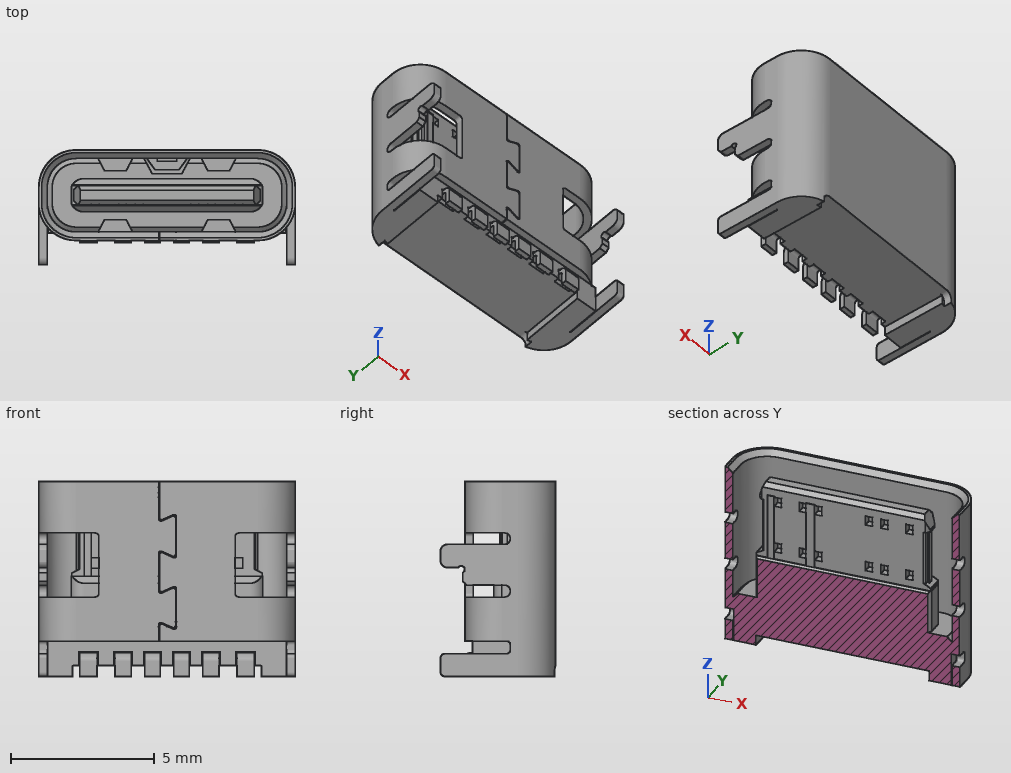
import cadquery as cq
import math

SHELL_X = 8.94
SHELL_Y = 3.16
SHELL_Z = 6.8
SHELL_RADIUS = 1.3
WALL = 0.3
MOUTH_CHAMFER = 0.2

LEG_TIP_Y = -2.43
SLOT_END_Y = 0
SLOT_END_RADIUS = 0.13
LOWER_LEG_TOP = 0.795
LOWER_LEG_CORNER = 0.15
HOOK_BOTTOM = 3.79
HOOK_CORNER_Y = 0.28
HOOK_CORNER_Z = 0.2
HOOK_BULGE = 0.31
BARB_Y = -1.655
BARB_CORNER = 0.14
NOTCH_Y = -1.71
NOTCH_Z = 3.73
NOTCH_RADIUS = 0.12
FRONT_WALL_BOTTOM = 1.23
UPPER_LEG_BOTTOM = 3.18
UPPER_LEG_TOP = 4.61
WINDOW_BOTTOM = 2.77
WINDOW_TOP = 5.0
WINDOW_INNER_X = 2.377
WINDOW_CORNER = 0.13
WINDOW_END_RADIUS = 0.19
LEG_ROOT_Y = SLOT_END_Y - WINDOW_END_RADIUS

BACK_CUT_HALF_X = 3.46
BACK_CUT_RADIUS = 0.25

SEAM_LEFT_X = -0.29
SEAM_RIGHT_X = 0.3
SEAM_SLOPE_RISE = 0.27
SEAM_TAB_EDGES = (5.37, 4.41, 2.86, 1.92)
SEAM_CORNER = 0.08
SEAM_WIDTH = 0.03

FLOOR_Z = 1.9
FLOOR_CHAMFER = 0.17
BASE_HALF_X = 4.15
BASE_FRONT_Y = -1.32
FEET_INNER_X = 3.29
FEET_HEIGHT = 0.38

RECESS_X = 1.8
RECESS_TIP_Y = 0.855
RECESS_TIP_HALF = 0.38
RECESS_WALL_HALF = 0.6
RECESS_DEPTH = 0.17
KEY_TIP_Y = 0.755
KEY_TIP_HALF = 0.52
KEY_WALL_HALF = 0.8
KEY_STEP_Y = 0.13
KEY_STEP_X = 0.1
KEY_CORNER = 0.1
NIB_HALF_X = 0.34
NIB_LENGTH = 0.1

PLINTH_HALF_X = 3.337
PLINTH_HALF_Y = 0.58
PLINTH_TOP_HALF_Y = 0.36
PLINTH_CORNER_X = 2.89
PLINTH_CORNER_Y = 0.29
PLINTH_SHOULDER_Z = 3.25
PLINTH_TOP = 3.5
COLLAR_HALF_X = 3.32
COLLAR_TOP = 3.6
COLLAR_TAPER_TOP = 3.75
TONGUE_HALF_X = 3.1
TONGUE_HALF_Y = 0.33
TONGUE_EDGE_CHAMFER = 0.06
TONGUE_TOP = 6.4
RIB_HALF_X = 3.17
RIB_HALF_Y = 0.11
TIP_BOTTOM = 5.75
TIP_TAPER_Z = 5.84
TIP_SHOULDER_Z = 6.24
TIP_HALF_X = 3.24
TIP_SHOULDER_HALF_X = 3.08
TIP_TOP_HALF_X = 3.02
TIP_TOP_HALF_Y = 0.18
TIP_EDGE_CHAMFER = 0.13

POCKET_CENTRES_X = (0.965, 1.55, 2.5)
POCKET_WIDTH = 0.27
POCKET_HEIGHT = 0.35
POCKET_DEPTH = 0.3
POCKET_ROW_BOTTOMS = (3.78, 5.58)
STRIP_SPANS_X = ((-2.89, -2.635), (-1.415, -1.1))
STRIP_TOP = 5.97
STRIP_PROUD = 0.03

TAILS = ((0.505, 0.55), (1.53, 0.58), (2.743, 0.61))
TAIL_FRONT_Y = -1.65
TAIL_TOP = 0.83
TAIL_THICKNESS = 0.2
TAIL_BEND = 0.29
TAIL_ROOT_Y = -1.0
TAIL_SLOT_GAP = 0.035
TAIL_SLOT_DEPTH = 0.2

INNER_HALF_X = SHELL_X / 2 - WALL
INNER_HALF_Y = SHELL_Y / 2 - WALL
FRONT_Y = -SHELL_Y / 2
BACK_Y = SHELL_Y / 2
BACK, FRONT = 1, -1


def box(x_min, x_max, y_min, y_max, z_min, z_max):
    """Axis-aligned block between the given limits."""
    size = (x_max - x_min, y_max - y_min, z_max - z_min)
    return cq.Workplane("XY").box(*size, centered=False).translate((x_min, y_min, z_min))


def tube_fill(inset, bottom, top):
    """Solid with the shell outline moved inwards by `inset`."""
    return (
        cq.Workplane("XY")
        .workplane(offset=bottom)
        .rect(SHELL_X - 2 * inset, SHELL_Y - 2 * inset)
        .extrude(top - bottom)
        .edges("|Z")
        .fillet(SHELL_RADIUS - inset)
    )


def extrude_x(outline, x_min, x_max):
    """Extrude a closed YZ outline from x_min to x_max."""
    return outline.extrude(x_max - x_min).translate((x_min, 0, 0))


def upper_leg_outline():
    """YZ outline of the hooked leg; a round notch parts the hook from the barb below it."""
    notch_lip_z = NOTCH_Z - math.sqrt(NOTCH_RADIUS**2 - (BARB_Y - NOTCH_Y) ** 2)
    notch_start_y = NOTCH_Y - math.sqrt(NOTCH_RADIUS**2 - (HOOK_BOTTOM - NOTCH_Z) ** 2)
    bulge_y = LEG_TIP_Y + HOOK_CORNER_Y * HOOK_BULGE
    upper_bulge = (bulge_y, UPPER_LEG_TOP - HOOK_CORNER_Z * HOOK_BULGE)
    lower_bulge = (bulge_y, HOOK_BOTTOM + HOOK_CORNER_Z * HOOK_BULGE)
    notch_diagonal = NOTCH_RADIUS * math.sqrt(0.5)
    return (
        cq.Workplane("YZ")
        .moveTo(LEG_ROOT_Y, UPPER_LEG_TOP)
        .lineTo(LEG_TIP_Y + HOOK_CORNER_Y, UPPER_LEG_TOP)
        .threePointArc(upper_bulge, (LEG_TIP_Y, UPPER_LEG_TOP - HOOK_CORNER_Z))
        .lineTo(LEG_TIP_Y, HOOK_BOTTOM + HOOK_CORNER_Z)
        .threePointArc(lower_bulge, (LEG_TIP_Y + HOOK_CORNER_Y, HOOK_BOTTOM))
        .lineTo(notch_start_y, HOOK_BOTTOM)
        .threePointArc((NOTCH_Y + notch_diagonal, NOTCH_Z + notch_diagonal), (BARB_Y, notch_lip_z))
        .lineTo(BARB_Y, UPPER_LEG_BOTTOM + BARB_CORNER)
        .lineTo(BARB_Y + BARB_CORNER, UPPER_LEG_BOTTOM)
        .lineTo(LEG_ROOT_Y, UPPER_LEG_BOTTOM)
        .close()
    )


def side_slot(bottom, top, end_radius):
    """Slot through both side walls, open towards the front, with a rounded end."""
    slot = box(-SHELL_X, SHELL_X, LEG_TIP_Y, SLOT_END_Y, bottom, top)
    return slot.edges("|X and >Y").fillet(end_radius)


def seam_groove():
    """Narrow dovetail gap through the front wall."""
    beyond = 0.5
    left_x = SEAM_LEFT_X - beyond
    points = [(left_x, SHELL_Z + beyond), (SEAM_LEFT_X, SHELL_Z + beyond)]
    for upper, lower in zip(SEAM_TAB_EDGES[0::2], SEAM_TAB_EDGES[1::2]):
        points += [
            (SEAM_LEFT_X, upper),
            (SEAM_RIGHT_X, upper + SEAM_SLOPE_RISE),
            (SEAM_RIGHT_X, lower - SEAM_SLOPE_RISE),
            (SEAM_LEFT_X, lower),
        ]
    points += [(SEAM_LEFT_X, FRONT_WALL_BOTTOM - beyond), (left_x, FRONT_WALL_BOTTOM - beyond)]
    plane = cq.Workplane("XZ", origin=(0, FRONT_Y + WALL, 0))
    outline = plane.polyline(points).close()
    left_half = outline.extrude(WALL).edges("|Y").fillet(SEAM_CORNER)
    widened = outline.toPending().offset2D(SEAM_WIDTH, "intersection").extrude(WALL)
    widened = widened.edges("|Y").fillet(SEAM_CORNER)
    keep = box(left_x + beyond / 2, SHELL_X, FRONT_Y, FRONT_Y + WALL, FRONT_WALL_BOTTOM, SHELL_Z)
    return widened.cut(left_half).intersect(keep)


def mouth_flare():
    """Chamfer around the inner edge of the mouth."""
    overshoot = 0.5
    inset = WALL - MOUTH_CHAMFER
    plug = tube_fill(inset, SHELL_Z - MOUTH_CHAMFER, SHELL_Z + overshoot)
    return plug.faces("<Z").chamfer(MOUTH_CHAMFER)


def lower_leg(x_min):
    """Straight leg at the foot of one side wall."""
    leg = box(x_min, x_min + WALL, LEG_TIP_Y, LEG_ROOT_Y, 0, LOWER_LEG_TOP)
    return leg.edges("|X and <Y").fillet(LOWER_LEG_CORNER)


def front_windows():
    """Openings in the front corners, running round into the side walls."""
    window = box(WINDOW_INNER_X, SHELL_X, LEG_TIP_Y, LEG_ROOT_Y, WINDOW_BOTTOM, WINDOW_TOP)
    window = window.edges("|Y and <X").fillet(WINDOW_CORNER)
    windows = window.union(window.mirror("YZ"))
    for bottom, top in ((WINDOW_BOTTOM, UPPER_LEG_BOTTOM), (UPPER_LEG_TOP, WINDOW_TOP)):
        slot = side_slot(bottom, top, WINDOW_END_RADIUS)
        between_walls = box(-INNER_HALF_X, INNER_HALF_X, LEG_TIP_Y, SLOT_END_Y, bottom, top)
        windows = windows.union(slot.cut(between_walls))
    return windows


def make_shell():
    """Sheet-metal tube with its windows, slots, seam and four legs."""
    shell = tube_fill(0, 0, SHELL_Z).cut(tube_fill(WALL, 0, SHELL_Z)).cut(mouth_flare())
    shell = shell.cut(front_windows())
    shell = shell.cut(side_slot(LOWER_LEG_TOP, FRONT_WALL_BOTTOM, SLOT_END_RADIUS))
    shell = shell.cut(box(-SHELL_X, SHELL_X, LEG_TIP_Y, LEG_ROOT_Y, 0, LOWER_LEG_TOP))
    back_cut = box(-BACK_CUT_HALF_X, BACK_CUT_HALF_X, 0, SHELL_Y, -FEET_HEIGHT, FEET_HEIGHT)
    shell = shell.cut(back_cut.edges("|Y and >Z").fillet(BACK_CUT_RADIUS))
    shell = shell.cut(seam_groove())
    for x_min in (-SHELL_X / 2, INNER_HALF_X):
        shell = shell.union(lower_leg(x_min))
        shell = shell.union(extrude_x(upper_leg_outline(), x_min, x_min + WALL))
    return shell


def floor_recess(centre_x, wall_half, tip_half, tip_y, side, bottom):
    """Floor recess tapering from the shell wall (side is BACK or FRONT) to its tip."""
    outline = [
        (centre_x - wall_half, side * INNER_HALF_Y),
        (centre_x - tip_half, side * tip_y),
        (centre_x + tip_half, side * tip_y),
        (centre_x + wall_half, side * INNER_HALF_Y),
    ]
    return cq.Workplane("XY").workplane(offset=bottom).polyline(outline).close().extrude(FLOOR_Z - bottom)


def make_base():
    """Insulator body closing the shell, with two feet and a recessed floor."""
    base = tube_fill(WALL, 0, FLOOR_Z).faces(">Z").chamfer(FLOOR_CHAMFER)
    base = base.union(box(-BASE_HALF_X, BASE_HALF_X, BASE_FRONT_Y, SLOT_END_Y, 0, FRONT_WALL_BOTTOM))
    side_gap = box(BASE_HALF_X, SHELL_X, FRONT_Y, SLOT_END_Y, 0, FRONT_WALL_BOTTOM)
    base = base.cut(side_gap).cut(side_gap.mirror("YZ"))
    base = base.cut(box(-FEET_INNER_X, FEET_INNER_X, FRONT_Y, BACK_Y, 0, FEET_HEIGHT))
    bottom = FLOOR_Z - RECESS_DEPTH
    for centre_x in (-RECESS_X, RECESS_X):
        for side in (FRONT, BACK):
            base = base.cut(
                floor_recess(centre_x, RECESS_WALL_HALF, RECESS_TIP_HALF, RECESS_TIP_Y, side, bottom)
            )
    base = base.cut(floor_recess(0, KEY_WALL_HALF, KEY_TIP_HALF, KEY_TIP_Y, BACK, bottom))
    inner_key = floor_recess(
        0,
        KEY_WALL_HALF - KEY_STEP_X,
        KEY_TIP_HALF - KEY_STEP_X,
        KEY_TIP_Y + KEY_STEP_Y,
        BACK,
        bottom - RECESS_DEPTH,
    )
    base = base.cut(inner_key.edges("|Z").edges("<Y").fillet(KEY_CORNER))
    nib_tip_y = INNER_HALF_Y - NIB_LENGTH
    return base.union(box(-NIB_HALF_X, NIB_HALF_X, nib_tip_y, INNER_HALF_Y, bottom - RECESS_DEPTH, bottom))


def roofed_profile(half_y, shoulder_z, top_half_y, bottom, top):
    """YZ outline with upright sides up to the shoulders and slopes above them."""
    right_side = [(half_y, bottom), (half_y, shoulder_z), (top_half_y, top)]
    left_side = [(-y, z) for y, z in reversed(right_side)]
    return cq.Workplane("YZ").polyline(right_side + left_side).close()


def mirrored_profile(right_side):
    """XZ outline made of the given right-hand points and their mirror images."""
    left_side = [(-x, z) for x, z in reversed(right_side)]
    return cq.Workplane("XZ").polyline(right_side + left_side).close()


def upright_bar(half_x, half_y, bottom, top):
    """Bar centred on the Z axis."""
    return box(-half_x, half_x, -half_y, half_y, bottom, top)


def make_plinth():
    """Raised pad under the tongue, with sloping shoulders along both long sides."""
    corner_x = PLINTH_HALF_X - PLINTH_CORNER_X
    corner_y = PLINTH_HALF_Y - PLINTH_CORNER_Y
    corner_radius = (corner_x**2 + corner_y**2) / (2 * corner_y)
    plinth = (
        cq.Workplane("XY")
        .workplane(offset=FLOOR_Z)
        .moveTo(-PLINTH_CORNER_X, -PLINTH_HALF_Y)
        .lineTo(PLINTH_CORNER_X, -PLINTH_HALF_Y)
        .radiusArc((PLINTH_HALF_X, -PLINTH_CORNER_Y), -corner_radius)
        .lineTo(PLINTH_HALF_X, PLINTH_CORNER_Y)
        .radiusArc((PLINTH_CORNER_X, PLINTH_HALF_Y), -corner_radius)
        .lineTo(-PLINTH_CORNER_X, PLINTH_HALF_Y)
        .radiusArc((-PLINTH_HALF_X, PLINTH_CORNER_Y), -corner_radius)
        .lineTo(-PLINTH_HALF_X, -PLINTH_CORNER_Y)
        .radiusArc((-PLINTH_CORNER_X, -PLINTH_HALF_Y), -corner_radius)
        .close()
        .extrude(PLINTH_TOP - FLOOR_Z)
    )
    roof = roofed_profile(PLINTH_HALF_Y, PLINTH_SHOULDER_Z, PLINTH_TOP_HALF_Y, FLOOR_Z, PLINTH_TOP)
    return plinth.intersect(extrude_x(roof, -PLINTH_HALF_X, PLINTH_HALF_X))


def make_tongue_tip():
    """Widened head of the tongue, tapering on all sides towards the mouth."""
    front = mirrored_profile([
        (TIP_HALF_X, TIP_BOTTOM),
        (TIP_HALF_X, TIP_TAPER_Z),
        (TIP_SHOULDER_HALF_X, TIP_SHOULDER_Z),
        (TIP_TOP_HALF_X, TONGUE_TOP),
    ])
    side = roofed_profile(TONGUE_HALF_Y, TIP_SHOULDER_Z, TIP_TOP_HALF_Y, TIP_BOTTOM, TONGUE_TOP)
    bar = upright_bar(TIP_HALF_X, TONGUE_HALF_Y, TIP_BOTTOM, TONGUE_TOP)
    bar = bar.edges("|Z").chamfer(TIP_EDGE_CHAMFER)
    bar = bar.intersect(front.extrude(TONGUE_HALF_Y, both=True))
    return bar.intersect(extrude_x(side, -TIP_HALF_X, TIP_HALF_X))


def make_tongue():
    """Contact blade with a flared collar, end ribs, pockets and contact strips."""
    blade = upright_bar(TONGUE_HALF_X, TONGUE_HALF_Y, PLINTH_TOP, TIP_BOTTOM)
    blade = blade.edges("|Z").chamfer(TONGUE_EDGE_CHAMFER)
    blade = blade.union(upright_bar(RIB_HALF_X, RIB_HALF_Y, PLINTH_TOP, TIP_BOTTOM))
    collar = mirrored_profile([
        (COLLAR_HALF_X, PLINTH_TOP),
        (COLLAR_HALF_X, COLLAR_TOP),
        (TONGUE_HALF_X - TONGUE_EDGE_CHAMFER, COLLAR_TAPER_TOP),
    ])
    blade = blade.union(collar.extrude(TONGUE_HALF_Y, both=True))
    blade = blade.union(make_tongue_tip())
    for row_bottom in POCKET_ROW_BOTTOMS:
        for distance in POCKET_CENTRES_X:
            for centre_x in (-distance, distance):
                pocket = box(
                    centre_x - POCKET_WIDTH / 2,
                    centre_x + POCKET_WIDTH / 2,
                    -TONGUE_HALF_Y,
                    POCKET_DEPTH - TONGUE_HALF_Y,
                    row_bottom,
                    row_bottom + POCKET_HEIGHT,
                )
                blade = blade.cut(pocket)
    for x_min, x_max in STRIP_SPANS_X:
        strip = box(x_min, x_max, -TONGUE_HALF_Y - STRIP_PROUD, 0, PLINTH_TOP, STRIP_TOP)
        blade = blade.union(strip).union(strip.rotate((0, 0, 0), (0, 0, 1), 180))
    return blade


def make_tail(centre_x, width):
    """Strip that leaves the base forwards and bends down to Z = 0."""
    inner_bend = TAIL_BEND - TAIL_THICKNESS
    bend_y = TAIL_FRONT_Y + TAIL_BEND
    bend_z = TAIL_TOP - TAIL_BEND
    inner_y = TAIL_FRONT_Y + TAIL_THICKNESS
    outline = (
        cq.Workplane("YZ")
        .moveTo(TAIL_ROOT_Y, TAIL_TOP)
        .lineTo(bend_y, TAIL_TOP)
        .radiusArc((TAIL_FRONT_Y, bend_z), -TAIL_BEND)
        .lineTo(TAIL_FRONT_Y, 0)
        .lineTo(inner_y, 0)
        .lineTo(inner_y, bend_z)
        .radiusArc((bend_y, bend_z + inner_bend), inner_bend)
        .lineTo(TAIL_ROOT_Y, bend_z + inner_bend)
        .close()
    )
    return extrude_x(outline, centre_x - width / 2, centre_x + width / 2)


def tail_slot(centre_x, width):
    """Clearance in the front of the base around one tail."""
    half = width / 2 + TAIL_SLOT_GAP
    back_y = BASE_FRONT_Y + TAIL_SLOT_DEPTH
    return box(centre_x - half, centre_x + half, FRONT_Y, back_y, 0, TAIL_TOP + TAIL_SLOT_GAP)


insulator = make_base().union(make_plinth()).union(make_tongue())
for distance, width in TAILS:
    for centre_x in (-distance, distance):
        insulator = insulator.cut(tail_slot(centre_x, width)).union(make_tail(centre_x, width))

result = make_shell().union(insulator)